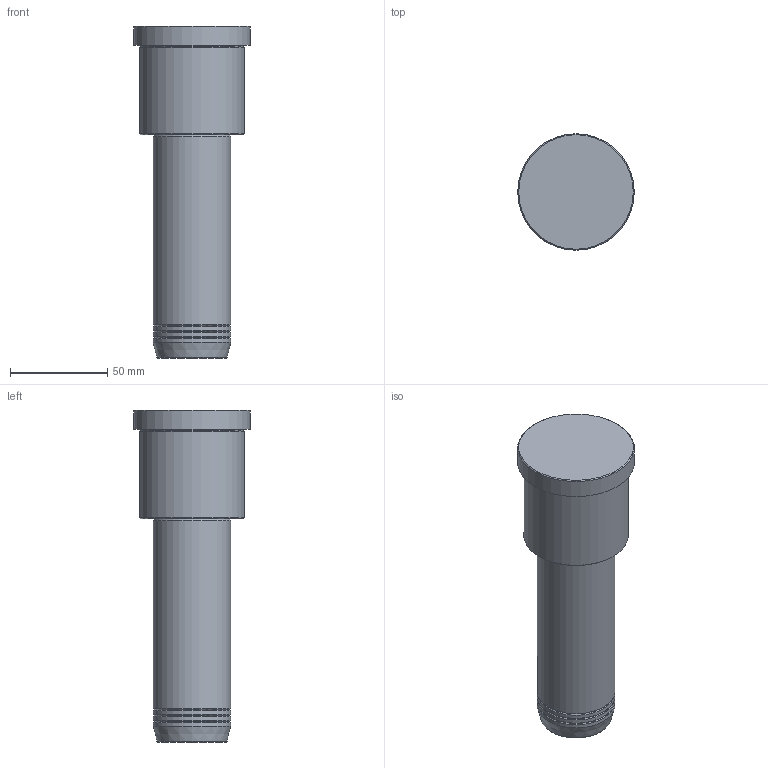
import cadquery as cq

total_length = 171.0

head_radius = 30.0
head_height = 10.0
head_chamfer = 0.5

shank_radius = 27.0
shank_bottom = 115.0
shank_chamfer = 0.5
undercut_height = 1.0
undercut_depth = 0.3

pin_radius = 20.0
neck_height = 1.0
neck_depth = 0.5

groove_count = 3
groove_width = 1.0
groove_depth = 0.45
groove_pitch = 3.0
lowest_groove_z = 10.5

lead_in_top = 8.0
lead_in_radius = 18.1
tip_chamfer = 0.5


def make_body():
    """Revolve the stepped outline, given as (radius, z), about the Z axis."""
    head_bottom = total_length - head_height
    undercut_bottom = head_bottom - undercut_height
    neck_bottom = shank_bottom - neck_height
    outline = (
        cq.Workplane("XZ")
        .moveTo(0, 0)
        .lineTo(lead_in_radius - tip_chamfer, 0)
        .lineTo(lead_in_radius, tip_chamfer)
        .lineTo(pin_radius, lead_in_top)
        .lineTo(pin_radius, neck_bottom)
        .lineTo(pin_radius - neck_depth, shank_bottom)
        .lineTo(shank_radius - shank_chamfer, shank_bottom)
        .lineTo(shank_radius, shank_bottom + shank_chamfer)
        .lineTo(shank_radius, undercut_bottom)
        .lineTo(shank_radius - undercut_depth, undercut_bottom + undercut_depth)
        .lineTo(shank_radius - undercut_depth, head_bottom)
        .lineTo(head_radius, head_bottom)
        .lineTo(head_radius, total_length - head_chamfer)
        .lineTo(head_radius - head_chamfer, total_length)
        .lineTo(0, total_length)
        .close()
    )
    return outline.revolve(360, (0, 0, 0), (0, 1, 0))


def make_oil_groove(center_z):
    """Ring of triangular section that cuts one oil groove into the pin."""
    section = (
        cq.Workplane("XZ")
        .moveTo(pin_radius, center_z - groove_width / 2)
        .lineTo(pin_radius, center_z + groove_width / 2)
        .lineTo(pin_radius - groove_depth, center_z)
        .close()
    )
    return section.revolve(360, (0, 0, 0), (0, 1, 0))


result = make_body()
for index in range(groove_count):
    result = result.cut(make_oil_groove(lowest_groove_z + index * groove_pitch))